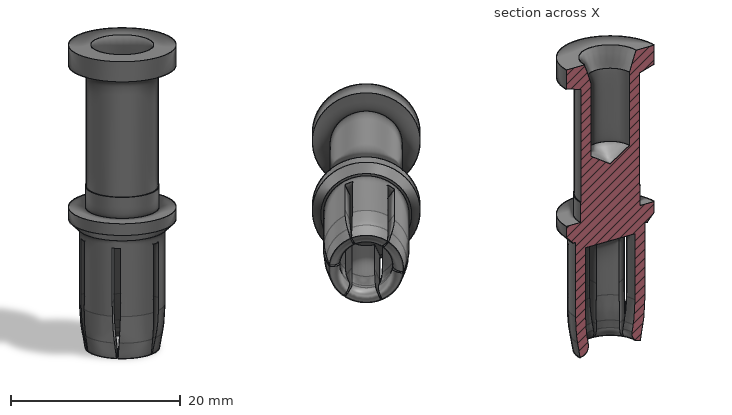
import cadquery as cq
import math

total_height = 37.5
bend_end_z = 2.05
bend_start_z = 5.45
slot_bend_z = 7.05
slot_top_z = 13.9
flange_cone_z = 14.95
flange_bottom_z = 15.95
flange_top_z = 17.4
collar_top_z = 20.0
head_cone_z = 34.4
head_bottom_z = 35.0

flange_radius = 6.35
shaft_radius = 4.25
collar_radius = 4.35
flange_cone_radius = 5.35
socket_radius = 5.05

wall_thickness = 1.5
bore_radius = socket_radius - wall_thickness
bore_top_z = slot_top_z
bend_angle = math.radians(10)
bend_radius = (bend_start_z - bend_end_z) / math.sin(bend_angle)
tip_rounding = 1.2
slot_count = 6
slot_width = 1.0
slot_side_angle = math.radians(5.3)

hole_mouth_radius = 3.7
hole_radius = 2.75
hole_taper_depth = 2.6
hole_depth = 12.0
drill_point_angle = 118.0


def bent_edge(outline, start_offset, start_z, arc_radius, angle, end_z):
    """Curve an outline toward the axis by the bend angle, then run it straight down to end_z."""
    middle_offset = start_offset - arc_radius * (1 - math.cos(angle / 2))
    middle_z = start_z - arc_radius * math.sin(angle / 2)
    arc_end_offset = start_offset - arc_radius * (1 - math.cos(angle))
    arc_end_z = start_z - arc_radius * math.sin(angle)
    end_offset = arc_end_offset - (arc_end_z - end_z) * math.tan(angle)
    outline = outline.threePointArc((middle_offset, middle_z), (arc_end_offset, arc_end_z))
    return outline.lineTo(end_offset, end_z), end_offset


def make_body():
    outline = (
        cq.Workplane("XZ")
        .moveTo(0, 0)
        .lineTo(0, total_height)
        .lineTo(flange_radius, total_height)
        .lineTo(flange_radius, head_bottom_z)
        .lineTo(shaft_radius, head_cone_z)
        .lineTo(shaft_radius, collar_top_z)
        .lineTo(collar_radius, collar_top_z)
        .lineTo(collar_radius, flange_top_z)
        .lineTo(flange_radius, flange_top_z)
        .lineTo(flange_radius, flange_bottom_z)
        .lineTo(flange_cone_radius, flange_cone_z)
        .lineTo(socket_radius, flange_cone_z)
        .lineTo(socket_radius, bend_start_z)
    )
    outline, _ = bent_edge(outline, socket_radius, bend_start_z, bend_radius, bend_angle, 0)
    return outline.close().revolve(360, (0, 0, 0), (0, 1, 0))


def make_bore():
    """Blind bore of the socket, following the bend of the fingers and rounded at their tips."""
    outline = cq.Workplane("XZ").moveTo(0, 0).lineTo(0, bore_top_z)
    outline = outline.lineTo(bore_radius, bore_top_z).lineTo(bore_radius, bend_start_z)
    rounding_start_z = tip_rounding * (1 + math.sin(bend_angle))
    outline, wall_end = bent_edge(
        outline, bore_radius, bend_start_z, bend_radius - wall_thickness, bend_angle, rounding_start_z
    )
    rounding_center = wall_end + tip_rounding * math.cos(bend_angle)
    middle_angle = math.pi / 4 - bend_angle / 2
    middle_offset = rounding_center - tip_rounding * math.cos(middle_angle)
    middle_z = tip_rounding * (1 - math.sin(middle_angle))
    outline = outline.threePointArc((middle_offset, middle_z), (rounding_center, 0))
    return outline.close().revolve(360, (0, 0, 0), (0, 1, 0))


def make_slot(angle):
    """One finger slot, closing toward the tips, cut outward from the axis at the given angle."""
    half_width = slot_width / 2
    arc_radius = (slot_bend_z - bend_end_z) / math.sin(slot_side_angle)
    half = cq.Workplane("YZ").moveTo(0, 0).lineTo(0, slot_top_z)
    half = half.lineTo(half_width, slot_top_z).lineTo(half_width, slot_bend_z)
    half, _ = bent_edge(half, half_width, slot_bend_z, arc_radius, slot_side_angle, 0)
    half = half.close().extrude(flange_radius)
    slot = half.union(half.mirror("XZ"))
    return slot.rotate((0, 0, 0), (0, 0, 1), angle)


def make_wire_hole():
    """Blind hole with a tapered mouth and a drill point."""
    hole_bottom_z = total_height - hole_depth
    point_depth = hole_radius / math.tan(math.radians(drill_point_angle / 2))
    outline = (
        cq.Workplane("XZ")
        .moveTo(0, total_height)
        .lineTo(hole_mouth_radius, total_height)
        .lineTo(hole_radius, total_height - hole_taper_depth)
        .lineTo(hole_radius, hole_bottom_z)
        .lineTo(0, hole_bottom_z - point_depth)
        .close()
    )
    return outline.revolve(360, (0, 0, 0), (0, 1, 0))


result = make_body().cut(make_bore()).cut(make_wire_hole())
for index in range(slot_count):
    result = result.cut(make_slot(index * 360 / slot_count))